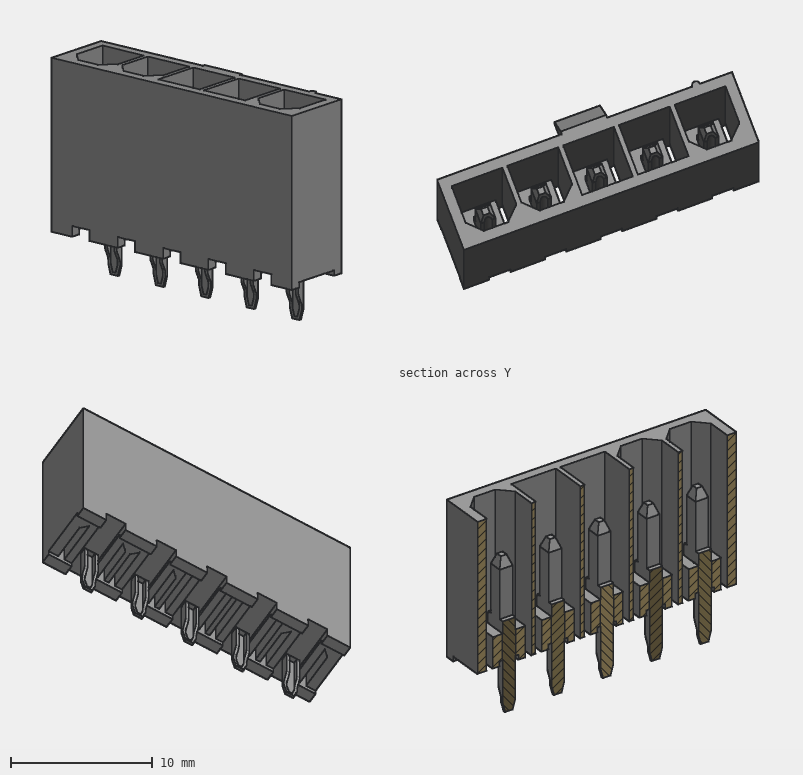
import cadquery as cq
import math


housing_length = 22.2
housing_depth = 5.42
housing_height = 12.8
cavity_count = 5
pitch = 4.2

cavity_size = 3.82
cavity_chamfer = 1.0
chamfered_cavities = (0, 1, 4)
floor_width = 2.8
floor_top = 3.0
wall = (housing_depth - cavity_size) / 2
cavity_middle_y = housing_depth / 2

channel_height = 0.4
notch_width = 1.6
notch_height = 2 * channel_height

latch_width = 3.42
latch_reach = 1.49
latch_top_reach = 0.2
latch_height = 2.97
latch_lip_height = 0.6
rib_radius = 0.29
rib_height = latch_height

terminal_width = 1.1
terminal_back = 3.82
tail_depth = 0.55
tail_bottom = -3.49
blade_thickness = 0.2
blade_taper_height = 0.8
blade_tip_width = 0.67
leg_slope_top = -1.53
leg_slope_bottom = -2.29
leg_top_radius = 0.65
leg_bottom_radius = 0.49
tail_groove_width = 0.62
tail_groove_depth = 0.38
tail_groove_tip_width = 0.27
tail_groove_end_margin = 0.2

base_depth = 1.82
base_height = 1.0
leg_edge_drop = 0.13
leg_edge_inset = 0.07
post_top = 8.88
tip_inset = 0.3
tip_angle = 70.0
post_groove_width = 0.65
post_groove_depth = 0.53

position_xs = [(i - (cavity_count - 1) / 2) * pitch for i in range(cavity_count)]


def block(x_size, y_min, y_max, z_min, z_max):
    """Box centred on X = 0 between the given Y and Z limits."""
    size = (x_size, y_max - y_min, z_max - z_min)
    return cq.Workplane("XY").box(*size, centered=(True, False, False)).translate((0, y_min, z_min))


def side_profile(points, width):
    """Solid of the given width, centred on X = 0, from an outline of (Y, Z) points."""
    return cq.Workplane("YZ").polyline(points).close().extrude(width / 2, both=True)




def make_tail():
    """Blade with two side legs that slope away above the tapered tip."""
    blade_front = terminal_back - blade_thickness
    leg_front = terminal_back - tail_depth
    tail = side_profile(
        [
            (terminal_back, tail_bottom),
            (terminal_back, floor_top),
            (leg_front, floor_top),
            (leg_front, leg_slope_top),
            (blade_front, leg_slope_bottom),
            (blade_front, tail_bottom),
        ],
        terminal_width,
    )
    top_bend = cq.selectors.NearestToPointSelector((0, leg_front, leg_slope_top))
    bottom_bend = cq.selectors.NearestToPointSelector((0, blade_front, leg_slope_bottom))
    tail = tail.edges("|X").edges(top_bend).fillet(leg_top_radius)
    tail = tail.edges("|X").edges(bottom_bend).fillet(leg_bottom_radius)

    outline = tapered_outline(terminal_width, blade_tip_width, tail_bottom, floor_top)
    tail = tail.intersect(outline.extrude(-housing_depth))

    groove_end = tail_bottom + tail_groove_end_margin
    groove = tapered_outline(tail_groove_width, tail_groove_tip_width, groove_end, notch_height)
    return tail.cut(groove.extrude(-(leg_front + tail_groove_depth)))


def tapered_outline(width, tip_width, bottom, top):
    """Outline in the XZ plane that narrows to its tip below the start of the blade taper."""
    taper_start = tail_bottom + blade_taper_height
    return (
        cq.Workplane("XZ")
        .moveTo(-width / 2, top)
        .lineTo(-width / 2, taper_start)
        .lineTo(-tip_width / 2, bottom)
        .lineTo(tip_width / 2, bottom)
        .lineTo(width / 2, taper_start)
        .lineTo(width / 2, top)
        .close()
    )


def make_post():
    """Square post with a pyramid tip on a deeper base, grooved along its front."""
    base_front = terminal_back - base_depth
    base_top = floor_top + base_height
    base = side_profile(
        [
            (terminal_back, floor_top),
            (terminal_back, base_top),
            (base_front + leg_edge_inset, base_top),
            (base_front, base_top - leg_edge_drop),
            (base_front, floor_top),
        ],
        terminal_width,
    )

    post_middle = terminal_back - base_depth / 2
    post_back = post_middle + terminal_width / 2
    tip_height = tip_inset * math.tan(math.radians(tip_angle))
    shaft_top = post_top - tip_height
    shaft = block(terminal_width, post_back - terminal_width, post_back, base_top, shaft_top)
    tip_width = terminal_width - 2 * tip_inset
    tip = (
        cq.Workplane("XY", origin=(0, post_middle, shaft_top))
        .rect(terminal_width, terminal_width)
        .workplane(offset=tip_height)
        .rect(tip_width, tip_width)
        .loft(ruled=True)
    )

    groove_radius = post_groove_width / 2
    groove_back = base_front + post_groove_depth
    groove = (
        cq.Workplane("XY", origin=(0, 0, floor_top))
        .moveTo(-groove_radius, base_front)
        .lineTo(-groove_radius, groove_back - groove_radius)
        .threePointArc((0, groove_back), (groove_radius, groove_back - groove_radius))
        .lineTo(groove_radius, base_front)
        .close()
        .extrude(post_top - floor_top)
    )
    return base.union(shaft).union(tip).cut(groove)


def make_terminal(x):
    return make_tail().union(make_post()).translate((x, 0, 0))




def cavity_prism(x, chamfered):
    """Full-height prism of one cavity, with its front corners cut off if chamfered."""
    prism = block(cavity_size, wall, wall + cavity_size, 0, housing_height)
    if chamfered:
        prism = prism.edges("|Z and <Y").chamfer(cavity_chamfer)
    return prism.translate((x, 0, 0))


def make_latch():
    back = housing_depth
    latch_bottom = housing_height - latch_height
    return side_profile(
        [
            (back, housing_height),
            (back + latch_top_reach, housing_height),
            (back + latch_reach, latch_bottom + latch_lip_height),
            (back + latch_reach, latch_bottom),
            (back, latch_bottom),
        ],
        latch_width,
    )


def make_rib():
    """Round rib on the back wall, behind the last cavity."""
    return (
        cq.Workplane("XY", origin=(position_xs[-1], housing_depth, housing_height - rib_height))
        .circle(rib_radius)
        .extrude(rib_height)
    )


def make_housing():
    body = block(housing_length, 0, housing_depth, 0, housing_height)
    body = body.union(make_latch()).union(make_rib())

    for i, x in enumerate(position_xs):
        floor = block(floor_width, wall, wall + cavity_size, 0, floor_top).translate((x, 0, 0))
        body = body.cut(cavity_prism(x, i in chamfered_cavities).cut(floor))

    body = body.cut(block(housing_length, wall, wall + cavity_size, 0, channel_height))

    notch = block(notch_width, 0, housing_depth, 0, notch_height)
    tail_hole = block(terminal_width, terminal_back - tail_depth, terminal_back, 0, floor_top)
    for x in position_xs:
        body = body.cut(notch.translate((x, 0, 0)))
        body = body.cut(tail_hole.translate((x, 0, 0)))
    return body


housing = make_housing()
terminals = [make_terminal(x) for x in position_xs]

result = cq.Compound.makeCompound([housing.val(), *[terminal.val() for terminal in terminals]])